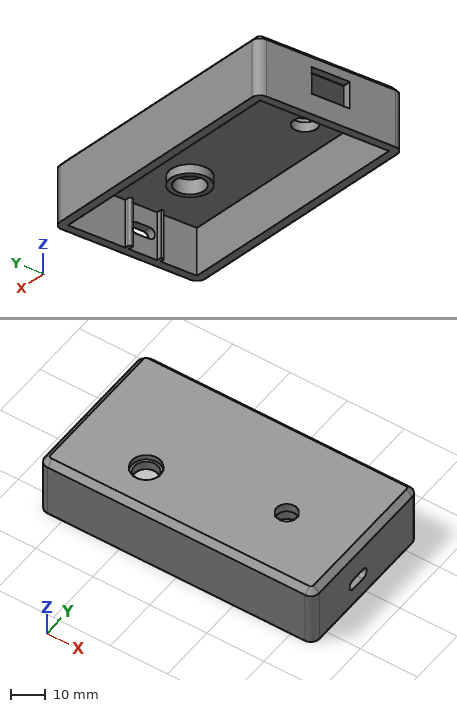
import cadquery as cq

length = 96.25
width = 53.0
height = 21.0
corner_radius = 3.0
rim_chamfer = 2.0
wall = 3.0
roof = 5.0
ceiling_z = height - roof

window_width = 14.0
window_bottom = 6.8
window_height = 8.95

large_hole_x = -20.6
large_hole_y = -11.9
large_hole_diameter = 8.3
counterbore_diameter = 10.0
counterbore_depth = 1.8

small_hole_x = 23.1
small_hole_y = -3.85
small_hole_diameter = 7.0
small_hole_depth = 3.1
boss_diameter = 13.8
boss_bore_diameter = 10.4
boss_bottom_z = 13.0

port_width = 8.7
port_height = 3.85
port_z = 8.1

rib_gap = 10.3
rib_thickness = 1.3
rib_depth = 1.9
rib_rounding = 0.7


def make_shell():
    body = (
        cq.Workplane("XY")
        .rect(length, width)
        .extrude(height)
        .edges("|Z")
        .fillet(corner_radius)
        .faces(">Z")
        .edges()
        .chamfer(rim_chamfer)
    )
    cavity = cq.Workplane("XY").rect(length - 2 * wall, width - 2 * wall).extrude(ceiling_z)
    return body.cut(cavity)


def vertical_cylinder(x, y, diameter, bottom_z, top_z):
    return (
        cq.Workplane("XY", origin=(x, y, bottom_z))
        .circle(diameter / 2)
        .extrude(top_z - bottom_z)
    )


def make_window():
    return (
        cq.Workplane("XY")
        .box(wall, window_width, window_height, centered=(False, True, False))
        .translate((-length / 2, 0, window_bottom))
    )


def make_port():
    return (
        cq.Workplane("YZ", origin=(length / 2 - wall, small_hole_y, port_z))
        .slot2D(port_width, port_height)
        .extrude(wall)
    )


def make_rib(side):
    """Full-height rib with its outer free edge rounded; side is +1 or -1 along Y."""
    rib_y = small_hole_y + side * (rib_gap + rib_thickness) / 2
    outer_edge = "<X and >Y" if side > 0 else "<X and <Y"
    return (
        cq.Workplane("XY")
        .box(rib_depth, rib_thickness, ceiling_z, centered=(False, True, False))
        .edges("|Z")
        .edges(outer_edge)
        .fillet(rib_rounding)
        .translate((length / 2 - wall - rib_depth, rib_y, 0))
    )


result = make_shell()
result = result.union(vertical_cylinder(small_hole_x, small_hole_y, boss_diameter, boss_bottom_z, ceiling_z))
for side in (-1, 1):
    result = result.union(make_rib(side))

result = result.cut(make_window())
result = result.cut(make_port())

counterbore_z = height - counterbore_depth
result = result.cut(vertical_cylinder(large_hole_x, large_hole_y, large_hole_diameter, ceiling_z, height))
result = result.cut(vertical_cylinder(large_hole_x, large_hole_y, counterbore_diameter, counterbore_z, height))

bore_top_z = height - small_hole_depth
result = result.cut(vertical_cylinder(small_hole_x, small_hole_y, small_hole_diameter, bore_top_z, height))
result = result.cut(vertical_cylinder(small_hole_x, small_hole_y, boss_bore_diameter, boss_bottom_z, bore_top_z))